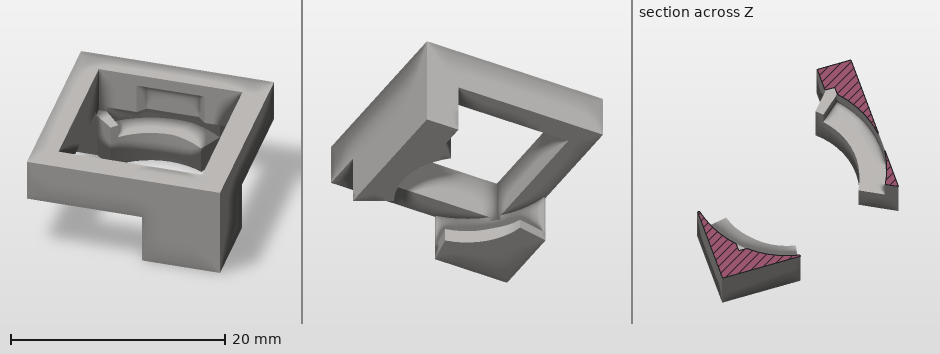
import cadquery as cq
import math

side = 18.7
height = 9.13
wall = 2.4
opening = side - 2 * wall
frame_bottom = 4.94
opening_bottom = 4.47

back_start, back_end = 61.6, 138.7
stop_start = 131.7
front_start, front_end = -79.0, -10.2
back_bore_radius = 6.8
front_bore_radius = 6.43
channel_radius = 9.31
back_shelf = 3.1
front_shelf = 1.33
ramp_length = 3.01
ramp_drop = 0.43
left_wall_end = 6.0

recess_depth = 0.79
recess_width = 6.58
recess_top = 7.95

reach = 2 * side


def block(width, bottom, top):
    return cq.Workplane("XY").workplane(offset=bottom).rect(width, width).extrude(top - bottom)


def cylinder(radius, bottom, top):
    return cq.Workplane("XY").workplane(offset=bottom).circle(radius).extrude(top - bottom)


def sector(start, end, bottom, top):
    """Triangular wedge spreading from the Z axis between two angles."""
    corners = [(0, 0)]
    for angle in (start, end):
        turn = math.radians(angle)
        corners.append((reach * math.cos(turn), reach * math.sin(turn)))
    return cq.Workplane("XY").workplane(offset=bottom).polyline(corners).close().extrude(top - bottom)


def channel(start, end, shelf):
    """Space above a shelf whose entry ramp rises from the radial face at the start angle."""
    ramp_profile = [
        (0, shelf - ramp_drop),
        (ramp_length, shelf),
        (side, shelf),
        (side, frame_bottom),
        (0, frame_bottom),
    ]
    turn = math.radians(start)
    profile_plane = cq.Plane(
        origin=(0, 0, 0),
        xDir=(-math.sin(turn), math.cos(turn), 0),
        normal=(math.cos(turn), math.sin(turn), 0),
    )
    space = cq.Workplane(profile_plane).polyline(ramp_profile).close().extrude(side)
    space = space.intersect(cylinder(channel_radius, 0, frame_bottom))
    return space.intersect(sector(start, end, 0, frame_bottom))


def leg(start, end, bore_radius):
    body = block(side, 0, frame_bottom).intersect(sector(start, end, 0, frame_bottom))
    return body.cut(cylinder(bore_radius, 0, frame_bottom))


def left_wall():
    length = side / 2 - left_wall_end
    corner = cq.Workplane("XY").box(wall, length, frame_bottom, centered=False)
    face_x = -left_wall_end / math.tan(math.radians(180 - back_end))
    filler = (
        cq.Workplane("XY")
        .box(side / 2 + face_x, length, opening_bottom, centered=False)
    )
    return corner.union(filler).translate((-side / 2, left_wall_end, 0))


def back_recess():
    inner_half = recess_width / 2
    outer_half = inner_half - recess_depth
    wall_face = opening / 2
    outline = [
        (-inner_half, wall_face),
        (inner_half, wall_face),
        (outer_half, wall_face + recess_depth),
        (-outer_half, wall_face + recess_depth),
    ]
    return (
        cq.Workplane("XY").workplane(offset=frame_bottom)
        .polyline(outline).close().extrude(recess_top - frame_bottom)
    )


back_leg = leg(back_start, back_end, back_bore_radius).union(left_wall())
back_leg = back_leg.cut(channel(back_start, stop_start, back_shelf))

front_leg = leg(front_start, front_end, front_bore_radius)
front_leg = front_leg.cut(channel(front_start, front_end, front_shelf))

result = (
    block(side, frame_bottom, height)
    .union(back_leg)
    .union(front_leg)
    .cut(block(opening, opening_bottom, height))
    .cut(back_recess())
)